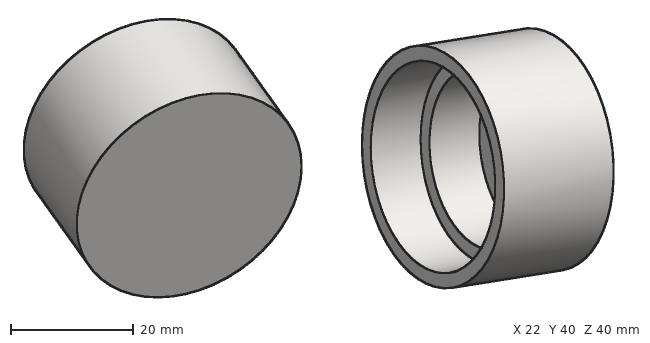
import cadquery as cq

outer_diameter = 40.0
length = 22.0
mouth_depth = 10.0
floor_thickness = 2.0

mouth_diameter = 35.0
bore_diameter = 30.0
open_end = -length / 2


def cylinder_from_open_end(diameter, depth):
    """Cylinder along +X, starting at the open end."""
    return (
        cq.Workplane("YZ")
        .workplane(offset=open_end)
        .circle(diameter / 2)
        .extrude(depth)
    )


body = cylinder_from_open_end(outer_diameter, length)
mouth = cylinder_from_open_end(mouth_diameter, mouth_depth)
bore = cylinder_from_open_end(bore_diameter, length - floor_thickness)

result = body.cut(mouth).cut(bore)